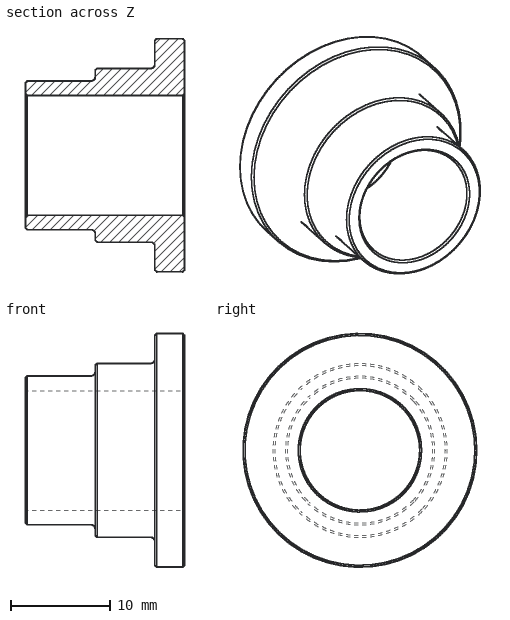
import cadquery as cq

flange_diameter = 23.5
shoulder_diameter = 17.5
spigot_diameter = 15.0
bore_diameter = 12.0
total_length = 16.0
flange_thickness = 3.0
shoulder_length = 6.0

edge_chamfer = 0.2
root_fillet_radius = 0.4

flange_start = total_length - flange_thickness
shoulder_start = flange_start - shoulder_length


def chamfered_disc(diameter, start, end):
    """Disc along X with both rims chamfered."""
    disc = cq.Workplane("YZ", origin=(start, 0, 0)).circle(diameter / 2).extrude(end - start)
    return disc.faces("<X or >X").edges().chamfer(edge_chamfer)


def root_fillet(diameter, face_x, radius):
    """Concave ring filling the corner between a cylinder and the step face at face_x."""
    cylinder_radius = diameter / 2
    middle = radius * (1 - 0.5 ** 0.5)
    return (
        cq.Workplane("XY")
        .moveTo(face_x - radius, cylinder_radius)
        .threePointArc(
            (face_x - middle, cylinder_radius + middle),
            (face_x, cylinder_radius + radius),
        )
        .lineTo(face_x + radius, cylinder_radius + radius)
        .lineTo(face_x + radius, cylinder_radius - radius)
        .lineTo(face_x - radius, cylinder_radius - radius)
        .close()
        .revolve(360, (0, 0, 0), (1, 0, 0))
    )


body = chamfered_disc(flange_diameter, flange_start, total_length)
body = body.union(chamfered_disc(shoulder_diameter, shoulder_start, total_length - edge_chamfer))
body = body.union(chamfered_disc(spigot_diameter, 0, total_length - edge_chamfer))
body = body.union(root_fillet(spigot_diameter, shoulder_start, root_fillet_radius))
body = body.union(root_fillet(shoulder_diameter, flange_start, root_fillet_radius))

bore = cq.Workplane("YZ").circle(bore_diameter / 2).extrude(total_length)
result = body.cut(bore)
bore_edges = cq.selectors.RadiusNthSelector(0)
result = result.faces("<X or >X").edges(bore_edges).chamfer(edge_chamfer)